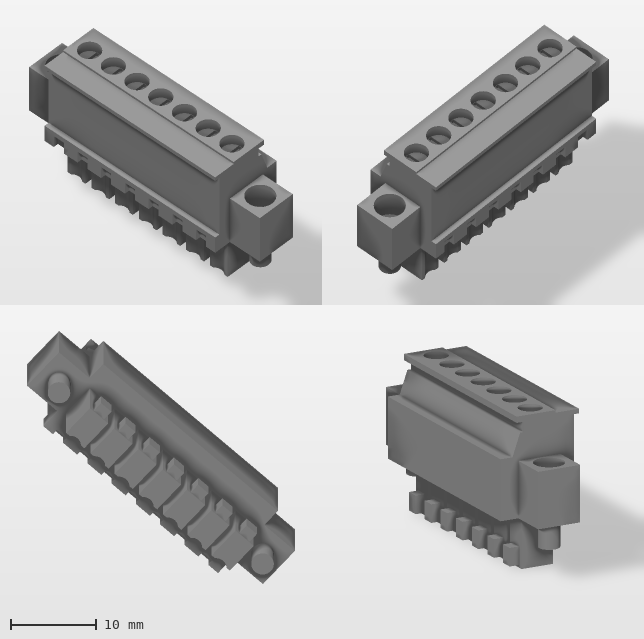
import cadquery as cq


OVERCUT = 1.0

pole_count = 7
pole_pitch = 3.81
end_wall_allowance = 0.75
body_length = pole_count * pole_pitch + end_wall_allowance
pole_xs = [(i - (pole_count - 1) / 2) * pole_pitch for i in range(pole_count)]

body_depth = 10.45
body_height = 12.5
overall_height = 19.1
lip_depth = 0.7
skirt_height = 2.47
lip_top = 12.2
lip_bottom = 11.63
crown_front = 3.14
crown_back = 8.3
crown_bottom = 11.73
neck_back = 7.39
neck_bottom = 10.47
slope_top_back = 7.85
slope_bottom_back = 8.86
shoulder_height = 7.6

notch_width = 1.6
notch_height = 1.76

leg_width = 2.85
leg_front = 3.02
leg_back = 7.18
leg_length = overall_height - body_height
groove_width = 1.8
groove_depth = 0.38
tab_width = 1.6
tab_depth = 1.25
tab_top = -4.0
tab_bottom = -6.27

overall_length = 37.06
flange_length = (overall_length - body_length) / 2
flange_front = 2.49
flange_back = 8.08
flange_height = 7.05

screw_row_y = 5.25

clamp_hole_diameter = 2.95
clamp_screw_diameter = 2.85
clamp_recess_depth = 1.5
clamp_screw_length = 4.0

flange_screw_offset = 2.54
flange_head_diameter = 3.75
flange_head_height = 1.5
flange_head_recess = 3.5
flange_shank_diameter = 2.63
flange_shank_protrusion = 3.25
flange_slot_angle = 27.0
flange_screw_x = overall_length / 2 - flange_screw_offset

slot_width = 0.5
slot_depth = 0.5


def block(x_center, width, y_front, y_back, z_bottom, z_top):
    """Box centred on x_center, between the given Y and Z limits."""
    return (
        cq.Workplane("XY")
        .box(width, y_back - y_front, z_top - z_bottom, centered=(True, False, False))
        .translate((x_center, y_front, z_bottom))
    )


def cylinder(x, y, diameter, z_bottom, z_top):
    """Vertical cylinder between two heights."""
    return (
        cq.Workplane("XY", origin=(x, y, z_bottom))
        .circle(diameter / 2)
        .extrude(z_top - z_bottom)
    )


def driver_slot(x, y, z_top, length, angle):
    """Cutter for a screwdriver slot, turned by angle from the Y direction."""
    return (
        cq.Workplane("XY")
        .box(slot_width, length, 2 * slot_depth)
        .rotate((0, 0, 0), (0, 0, 1), angle)
        .translate((x, y, z_top))
    )


def housing_body():
    """Main cross-section, extruded along the row of poles."""
    outline = [
        (0, 0),
        (body_depth, 0),
        (body_depth, shoulder_height),
        (slope_bottom_back, shoulder_height),
        (slope_top_back, neck_bottom),
        (neck_back, neck_bottom),
        (neck_back, crown_bottom),
        (crown_back, crown_bottom),
        (crown_back, body_height),
        (crown_front, body_height),
        (crown_front, lip_top),
        (0, lip_top),
        (0, lip_bottom),
        (lip_depth, lip_bottom),
        (lip_depth, skirt_height),
        (0, skirt_height),
    ]
    return (
        cq.Workplane("YZ", origin=(-body_length / 2, 0, 0))
        .polyline(outline)
        .close()
        .extrude(body_length)
    )


def contact_leg(x):
    """Leg under one pole, with a shallow round groove in front and a narrower tab at the back."""
    leg = (
        cq.Workplane("XY", origin=(x, 0, -leg_length))
        .moveTo(-leg_width / 2, leg_front)
        .lineTo(-groove_width / 2, leg_front)
        .threePointArc((0, leg_front + groove_depth), (groove_width / 2, leg_front))
        .lineTo(leg_width / 2, leg_front)
        .lineTo(leg_width / 2, leg_back)
        .lineTo(-leg_width / 2, leg_back)
        .close()
        .extrude(leg_length)
    )
    tab = block(x, tab_width, leg_back, leg_back + tab_depth, tab_bottom, tab_top)
    return leg.union(tab)


def skirt_notch(x):
    """Cutter for the notch through the front skirt in front of one leg."""
    return block(x, notch_width, -OVERCUT, lip_depth, -OVERCUT, notch_height)


def clamp_screw_hole(x):
    """Cutter for a clamping screw hole: a wider recess above the screw's own seat."""
    screw_top = body_height - clamp_recess_depth
    screw_bottom = screw_top - clamp_screw_length
    seat = cylinder(x, screw_row_y, clamp_screw_diameter, screw_bottom, screw_top)
    recess = cylinder(x, screw_row_y, clamp_hole_diameter, screw_top, body_height + OVERCUT)
    return seat.union(recess)


def flange(side):
    """Block at one end of the housing; side is -1 or +1."""
    x_center = side * (body_length + flange_length) / 2
    return block(x_center, flange_length, flange_front, flange_back, 0, flange_height)


def flange_screw_hole(x):
    """Cutter for a flange screw: a head bore from above and a shank hole to the underside."""
    head_bottom = flange_height - flange_head_recess - flange_head_height
    shank = cylinder(x, screw_row_y, flange_shank_diameter, -OVERCUT, head_bottom)
    bore = cylinder(x, screw_row_y, flange_head_diameter, head_bottom, flange_height + OVERCUT)
    return shank.union(bore)


def build_housing():
    body = housing_body()
    for side in (-1, 1):
        body = body.union(flange(side))
    for x in pole_xs:
        body = body.union(contact_leg(x))
        body = body.cut(skirt_notch(x))
        body = body.cut(clamp_screw_hole(x))
    for side in (-1, 1):
        body = body.cut(flange_screw_hole(side * flange_screw_x))
    return body


def build_clamp_screw(x):
    """Slotted grub screw below the top of the housing."""
    top = body_height - clamp_recess_depth
    screw = cylinder(x, screw_row_y, clamp_screw_diameter, top - clamp_screw_length, top)
    return screw.cut(driver_slot(x, screw_row_y, top, clamp_hole_diameter, 0))


def build_flange_screw(x):
    """Slotted screw whose head rests in the flange and whose shank passes through it."""
    head_top = flange_height - flange_head_recess
    head_bottom = head_top - flange_head_height
    head = cylinder(x, screw_row_y, flange_head_diameter, head_bottom, head_top)
    shank = cylinder(x, screw_row_y, flange_shank_diameter, -flange_shank_protrusion, head_bottom)
    slot = driver_slot(x, screw_row_y, head_top, flange_head_diameter + OVERCUT, flange_slot_angle)
    return head.union(shank).cut(slot)


housing = build_housing()
clamp_screws = [build_clamp_screw(x) for x in pole_xs]
flange_screws = [build_flange_screw(side * flange_screw_x) for side in (-1, 1)]

result = cq.Compound.makeCompound(
    [housing.val()]
    + [screw.val() for screw in clamp_screws]
    + [screw.val() for screw in flange_screws]
)